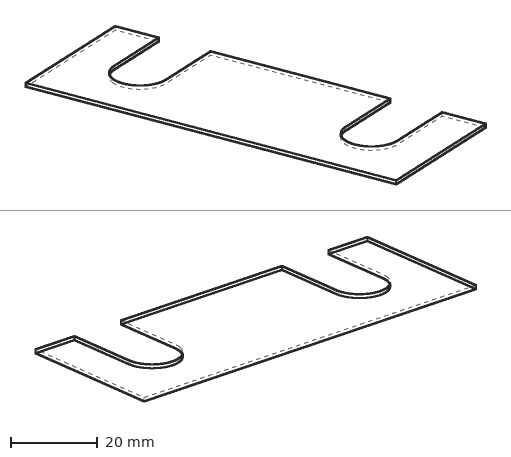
import cadquery as cq

length = 101.6
width = 38.1
thickness = 1.0

slot_width = 14.2
slot_spacing = 63.5
slot_center_depth = width / 2


def slot_cutter(center_x):
    """Round-ended slot that runs out through the +Y edge."""
    radius = slot_width / 2
    edge_y = width / 2
    end_y = edge_y - slot_center_depth
    return (
        cq.Workplane("XY")
        .moveTo(center_x - radius, edge_y)
        .lineTo(center_x - radius, end_y)
        .threePointArc((center_x, end_y - radius), (center_x + radius, end_y))
        .lineTo(center_x + radius, edge_y)
        .close()
        .extrude(thickness)
    )


result = cq.Workplane("XY").box(length, width, thickness, centered=(True, True, False))
for side in (-1, 1):
    result = result.cut(slot_cutter(side * slot_spacing / 2))